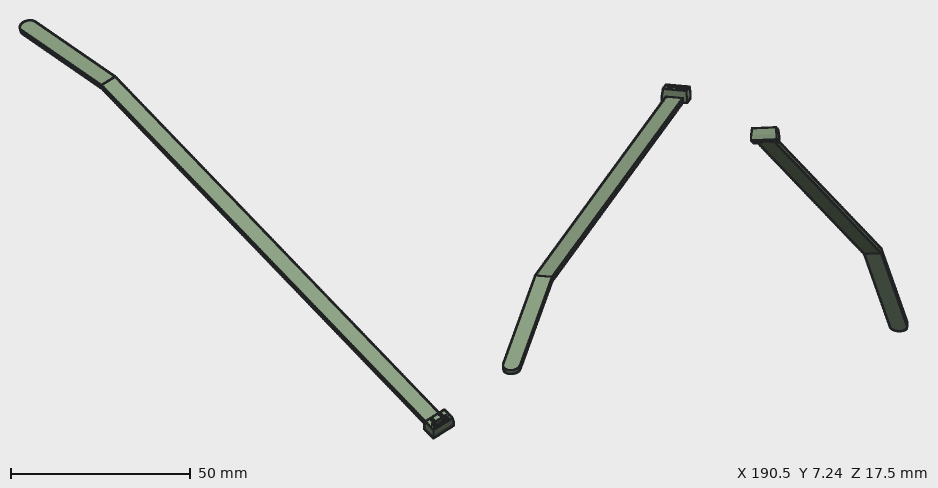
import cadquery as cq
import math

total_length = 190.5
total_height = 17.46

strap_width = 4.85
strap_thickness = 1.4
bend_angle = math.radians(20)

head_length = 4.2
head_width = 7.24
head_height = 3.5
head_draft = 0.25

slot_length = 1.15
slot_width = 4.95
slot_end_distance = 1.0
slit_width = 0.55
slit_length = 1.4
pawl_width = 2.4

tail_drop = total_height - head_height
tail_length = tail_drop / math.sin(bend_angle)
tip_lean = strap_thickness * math.sin(bend_angle)
bend_x = tail_length * math.cos(bend_angle) + tip_lean
bend_top_shift = strap_thickness * math.tan(bend_angle / 2)
head_start = total_length - head_length
slot_start = total_length - slot_end_distance - slot_length


def make_strap():
    """Bent strip of constant thickness, cut square at the tip and ending at the head slot."""
    profile = (
        cq.Workplane("XZ")
        .moveTo(tip_lean, -tail_drop)
        .lineTo(bend_x, 0)
        .lineTo(slot_start, 0)
        .lineTo(slot_start, strap_thickness)
        .lineTo(bend_x - bend_top_shift, strap_thickness)
        .lineTo(0, strap_thickness * math.cos(bend_angle) - tail_drop)
        .close()
    )
    return profile.extrude(strap_width / 2, both=True)


def round_tip(strap):
    """Round the tail to a half circle in the plane of the tail."""
    tail_plane = cq.Plane(
        origin=(tip_lean, 0, -tail_drop),
        xDir=(math.cos(bend_angle), 0, math.sin(bend_angle)),
        normal=(-math.sin(bend_angle), 0, math.cos(bend_angle)),
    )
    radius = strap_width / 2
    square_end = cq.Workplane(tail_plane).rect(strap_width, strap_width).extrude(strap_thickness)
    round_end = cq.Workplane(tail_plane).center(radius, 0).circle(radius).extrude(strap_thickness)
    return strap.cut(square_end.cut(round_end))


def make_head():
    """Straight base with the drafted block standing on it."""
    base = cq.Workplane("XY").box(head_length, head_width, strap_thickness, centered=(False, True, False))
    block = (
        cq.Workplane("XY", origin=(head_length / 2, 0, strap_thickness))
        .rect(head_length, head_width)
        .workplane(offset=head_height - strap_thickness)
        .rect(head_length - 2 * head_draft, head_width - 2 * head_draft)
        .loft()
    )
    return base.union(block).translate((head_start, 0, 0))


def make_slot():
    """Through slot across the head and the two slits that run from it beside the pawl."""
    slot = (
        cq.Workplane("XY")
        .center(slot_start + slot_length / 2, 0)
        .rect(slot_length, slot_width)
        .extrude(head_height)
    )
    slit_x = slot_start - slit_length / 2
    slit_y = (pawl_width + slit_width) / 2
    slits = (
        cq.Workplane("XY")
        .pushPoints([(slit_x, -slit_y), (slit_x, slit_y)])
        .rect(slit_length, slit_width)
        .extrude(head_height)
    )
    return slot.union(slits)


strap = round_tip(make_strap())
result = strap.union(make_head()).cut(make_slot())